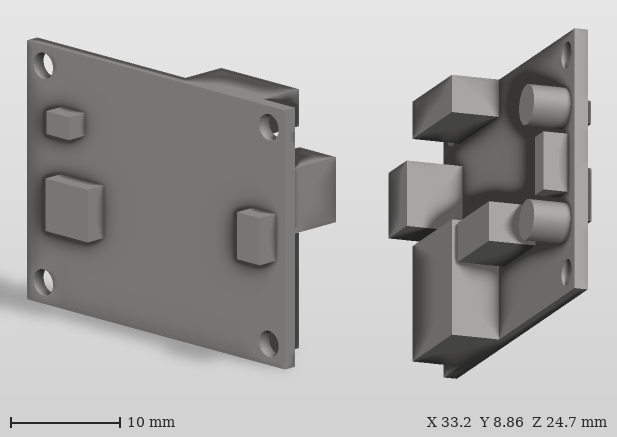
import cadquery as cq

board_width = 33.23
board_height = 24.69
board_thickness = 1.30
half_height = board_height / 2

hole_diameter = 2.5
hole_inset_x = 2.07
hole_inset_z = 2.02

overall_depth = 8.86
chip_depth = 2.08
tall_block_depth = overall_depth - board_thickness - chip_depth
connector_depth = 4.65
relay_depth = 4.58
low_block_depth = 2.36
post_depth = 3.61

small_chip = (-12.10, -9.18, 4.74, 6.92)
large_chip = (-12.18, -6.75, -4.52, 0.49)
side_chip = (12.49, 15.42, -2.23, 2.25)

connector_left = 2.50
connector_right = 12.50
upper_connector = (connector_left, connector_right, 8.80, half_height)
lower_connector = (connector_left, connector_right, -half_height, -1.38)
tall_block = (11.80, 16.45, 0.28, 6.50)
relay = (-6.72, 1.18, -5.77, -2.02)

post_diameter = 3.80
post_x = -13.75
post_spacing = 10.92
low_block_width = 2.2
low_block = (post_x - low_block_width / 2, post_x + low_block_width / 2, -2.75, 2.77)


def block(outline, y_start, depth):
    """Box over a (left, right, bottom, top) outline, reaching from y_start toward +Y."""
    left, right, bottom, top = outline
    return (
        cq.Workplane("XY")
        .box(right - left, depth, top - bottom, centered=False)
        .translate((left, y_start, bottom))
    )


def front_chip(outline):
    """Chip standing out from the front face of the board."""
    return block(outline, -chip_depth, chip_depth)


def back_block(outline, depth):
    """Block standing out from the back face of the board."""
    return block(outline, board_thickness, depth)


def back_post(z):
    """Round post standing out from the back face of the board."""
    base = cq.Workplane("XZ", origin=(post_x, board_thickness, z))
    return base.circle(post_diameter / 2).extrude(-post_depth)


def drilled_board():
    """Flat board with a through hole in each corner."""
    board = cq.Workplane("XZ").rect(board_width, board_height).extrude(-board_thickness)
    holes = (
        cq.Workplane("XZ")
        .rect(board_width - 2 * hole_inset_x, board_height - 2 * hole_inset_z, forConstruction=True)
        .vertices()
        .circle(hole_diameter / 2)
        .extrude(-board_thickness)
    )
    return board.cut(holes)


result = drilled_board()

for chip_outline in (small_chip, large_chip, side_chip):
    result = result.union(front_chip(chip_outline))

for connector_outline in (upper_connector, lower_connector):
    result = result.union(back_block(connector_outline, connector_depth))

result = result.union(back_block(tall_block, tall_block_depth))
result = result.union(back_block(relay, relay_depth))
result = result.union(back_block(low_block, low_block_depth))

for post_z in (-post_spacing / 2, post_spacing / 2):
    result = result.union(back_post(post_z))